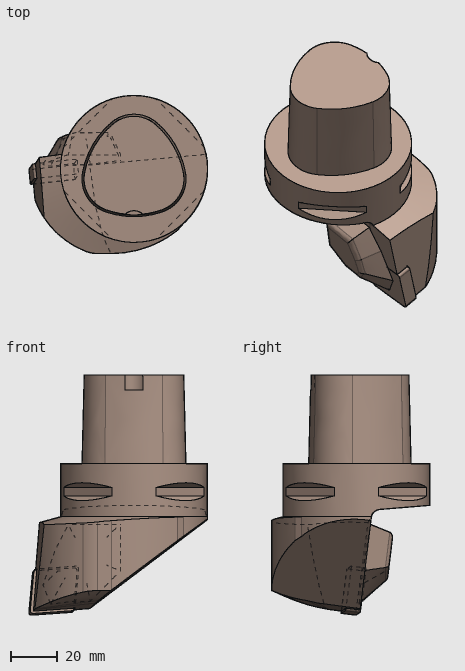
import cadquery as cq
import math


SHANK_HEIGHT = 38.0
SHANK_TAPER = 1.4
LOBE_REACH = 23.5
SIDE_REACH = 20.5
LOBE_RADIUS = 14.9
KEY_RADIUS = 5.6
KEY_DEPTH = 6.4
KEY_BOTTOM_Y = -17.9

FLANGE_RADIUS = 31.5
FLANGE_HEIGHT = 22.8
NOTCH_COUNT = 4
NOTCH_FLOOR_DISTANCE = 27.9
NOTCH_FLOOR_WIDTH = 3.5
NOTCH_MIDDLE_Z = -12.0
NOTCH_FLANK_ANGLE = 30

HEAD_FRONT_Y = -36.4
HEAD_RADIUS = 31.6
HEAD_BOTTOM_Z = -72.1
SHOULDER_SLOPE = 0.28

LEFT_POINT = (-38.5, -21.0, -26.3)
LEFT_NORMAL = (-1, -0.082, 0.092)
SLANT_POINT = (-18.6, -4.1, -61.8)
SLANT_NORMAL = (0.757, -0.023, -1)
END_POINT = (-42.5, -13.3, -62.4)
END_NORMAL = (0.085, -0.12, -1)

RELIEF_DIRECTION = (1, -0.29, 0.13)
RELIEF_START_X = -51.5
RELIEF_LENGTH = 61.8

RAKE_LEAN_X = 0.1
RAKE_LEAN_Z = 0.123
RAKE_Y = 12.2
RAKE_LEAN_END_X = -28.8
GULLET_ROOT_Z = -20.0
GULLET_CEILING_RISE = 3.7
GULLET_DEPTH = 45.3
GULLET_FILLET = 7.9 / 2
PAD_HEIGHT = 10.1
PAD_SINK = 1.2
PAD_FILLET = 2.6

INSERT_EDGE = 19.4
INSERT_ANGLE = 80
INSERT_THICKNESS = 6.4
INSERT_NOSE_RADIUS = 1.2
INSERT_CORNER = (-46.2, -65.6)
INSERT_EDGE_TILT = 4

STOCK = 206

STRAIGHT_FACE_Y = RAKE_Y + RAKE_LEAN_X * RAKE_LEAN_END_X

RAKE_PLANE = cq.Plane(
    origin=(0, RAKE_Y, 0),
    xDir=(1, RAKE_LEAN_X, 0),
    normal=(RAKE_LEAN_X, -1, RAKE_LEAN_Z),
)


def outside(point, normal):
    """Block filling the space on the outer side of a plane."""
    return cq.Workplane(cq.Plane(origin=point, normal=normal)).rect(STOCK, STOCK).extrude(STOCK)


def polar(radius, degrees, center=(0, 0)):
    angle = math.radians(degrees)
    return (center[0] + radius * math.cos(angle), center[1] + radius * math.sin(angle))


def make_shank():
    lobe_offset = LOBE_REACH - LOBE_RADIUS
    side_radius = (
        SIDE_REACH**2 + lobe_offset**2 - SIDE_REACH * lobe_offset - LOBE_RADIUS**2
    ) / (2 * SIDE_REACH - 2 * LOBE_RADIUS - lobe_offset)
    side_offset = side_radius - SIDE_REACH

    def tangent_point(side_angle, lobe_angle):
        side_center = cq.Vector(*polar(-side_offset, side_angle))
        lobe_center = cq.Vector(*polar(lobe_offset, lobe_angle))
        point = side_center + (lobe_center - side_center).normalized() * side_radius
        return (point.x, point.y)

    outline = cq.Workplane("XY").moveTo(*tangent_point(30, 90))
    for lobe_angle in (90, 210, 330):
        next_side = lobe_angle + 60
        outline = outline.threePointArc(
            polar(LOBE_REACH, lobe_angle), tangent_point(next_side, lobe_angle)
        ).threePointArc(
            polar(SIDE_REACH, next_side), tangent_point(next_side, lobe_angle + 120)
        )
    shank = outline.close().extrude(SHANK_HEIGHT, taper=SHANK_TAPER)
    key_groove = (
        cq.Workplane("XY", origin=(0, KEY_BOTTOM_Y - KEY_RADIUS, SHANK_HEIGHT - KEY_DEPTH))
        .circle(KEY_RADIUS)
        .extrude(KEY_DEPTH)
    )
    return shank.cut(key_groove)


def make_flange():
    flange = cq.Workplane("XY").circle(FLANGE_RADIUS).extrude(-FLANGE_HEIGHT)
    depth = FLANGE_RADIUS - NOTCH_FLOOR_DISTANCE
    floor_half = NOTCH_FLOOR_WIDTH / 2
    mouth_half = floor_half + depth * math.tan(math.radians(NOTCH_FLANK_ANGLE))
    notch = (
        cq.Workplane("XZ", origin=(0, 0, NOTCH_MIDDLE_Z))
        .polyline([
            (NOTCH_FLOOR_DISTANCE, -floor_half),
            (FLANGE_RADIUS, -mouth_half),
            (FLANGE_RADIUS, mouth_half),
            (NOTCH_FLOOR_DISTANCE, floor_half),
        ])
        .close()
        .extrude(FLANGE_RADIUS, both=True)
    )
    for index in range(NOTCH_COUNT):
        angle = (index + 0.5) * 360 / NOTCH_COUNT
        flange = flange.cut(notch.rotate((0, 0, 0), (0, 0, 1), angle))
    return flange


def make_end_relief():
    """Material below the rounded relief of the end face."""
    section = (
        cq.Workplane("YZ", origin=(RELIEF_START_X, 0, 0))
        .moveTo(-10.7, -63.4)
        .threePointArc((-19.6, -61.54), (-26.3, -58.97))
        .lineTo(-36, -53.6)
        .lineTo(-36, -82.4)
        .lineTo(15.5, -82.4)
        .lineTo(15.5, -69)
        .close()
    )
    sweep = cq.Vector(*RELIEF_DIRECTION) * RELIEF_LENGTH
    return cq.Workplane(cq.Solid.extrudeLinear(section.val(), [], sweep))


def make_head():
    back_left = (-51.5, 20.6)
    back_right = polar(HEAD_RADIUS, 40)
    head = (
        cq.Workplane("XY", origin=(0, 0, HEAD_BOTTOM_Z))
        .moveTo(*back_left)
        .lineTo(-45.3, -5.2)
        .lineTo(-42.4, -13.4)
        .threePointArc((-33.6, -27.0), (-21.9, -34.8))
        .threePointArc((-18.8, -35.9), (-15.7, HEAD_FRONT_Y))
        .lineTo(-9.7, HEAD_FRONT_Y)
        .threePointArc((5.2, -33.8), (18.6, -26.4))
        .lineTo(*polar(HEAD_RADIUS, -48))
        .threePointArc((HEAD_RADIUS, 0), back_right)
        .lineTo(back_right[0], back_left[1])
        .close()
        .extrude(-HEAD_BOTTOM_Z - FLANGE_HEIGHT)
    )
    rim = 61.8
    shoulder = (
        cq.Workplane("XZ")
        .polyline([
            (0, -FLANGE_HEIGHT),
            (FLANGE_RADIUS, -FLANGE_HEIGHT),
            (rim, -FLANGE_HEIGHT - SHOULDER_SLOPE * (rim - FLANGE_RADIUS)),
            (rim, HEAD_BOTTOM_Z),
            (0, HEAD_BOTTOM_Z),
        ])
        .close()
        .revolve()
    )
    return (
        head.intersect(shoulder)
        .cut(outside(LEFT_POINT, LEFT_NORMAL))
        .cut(outside(SLANT_POINT, SLANT_NORMAL))
        .cut(outside(END_POINT, END_NORMAL))
        .cut(make_end_relief())
    )


def make_gullet(lean, face_y):
    """Space in front of the rake face, open to +Y, with a rounded root.

    The face rises by `lean` in Y per unit of X, and passes Y = face_y on the Z axis at Z = 0.
    """
    root_y = face_y + RAKE_LEAN_Z * GULLET_ROOT_Z
    low_z = -STOCK / 2
    section = (
        cq.Workplane("YZ")
        .polyline([
            (face_y + RAKE_LEAN_Z * low_z, low_z),
            (root_y, GULLET_ROOT_Z),
            (root_y + GULLET_DEPTH, GULLET_ROOT_Z + GULLET_CEILING_RISE),
            (root_y + GULLET_DEPTH, low_z),
        ])
        .close()
    )
    sweep = cq.Vector(1, lean, 0) * STOCK
    gullet = cq.Workplane(cq.Solid.extrudeLinear(section.val(), [], sweep)).translate(sweep * -0.5)
    root_edge = cq.selectors.NearestToPointSelector((0, root_y, GULLET_ROOT_Z))
    return gullet.edges(root_edge).fillet(GULLET_FILLET)


def make_pad():
    """Raised pad with sloping sides, standing on the straight part of the rake face."""
    foot_plane = cq.Plane(
        origin=(0, STRAIGHT_FACE_Y - PAD_SINK, 0), xDir=(1, 0, 0), normal=(0, -1, RAKE_LEAN_Z)
    )
    foot = [(-28.3, -25.8), (-34, -37.1), (-39.1, -52.5), (-36, -61.3), (-18.5, -60.8), (-5.2, -46.4), (-5.2, -25.8)]
    top = [(-26.3, -28.8), (-30.4, -38.1), (-31.9, -44.3), (-29.9, -48.4), (-20.6, -48.4), (-10.3, -43.3), (-10.3, -28.8)]
    pad = (
        cq.Workplane(foot_plane)
        .polyline(foot)
        .close()
        .workplane(offset=-PAD_SINK - PAD_HEIGHT)
        .polyline(top)
        .close()
        .loft(ruled=True)
    )
    top_face = cq.selectors.DirectionMinMaxSelector(foot_plane.zDir, False)
    return pad.faces(top_face).edges().fillet(PAD_FILLET)


def make_insert():
    side = polar(INSERT_EDGE, INSERT_EDGE_TILT + INSERT_ANGLE, INSERT_CORNER)
    bottom = polar(INSERT_EDGE, INSERT_EDGE_TILT, INSERT_CORNER)
    opposite = polar(INSERT_EDGE, INSERT_EDGE_TILT, side)
    blank = (
        cq.Workplane(RAKE_PLANE)
        .polyline([INSERT_CORNER, bottom, opposite, side])
        .close()
        .extrude(INSERT_THICKNESS)
    )
    return blank.edges(cq.selectors.ParallelDirSelector(RAKE_PLANE.zDir)).fillet(INSERT_NOSE_RADIUS)


insert = make_insert()
holder = (
    make_flange()
    .union(make_head())
    .cut(make_gullet(RAKE_LEAN_X, RAKE_Y))
    .cut(make_gullet(0, STRAIGHT_FACE_Y))
    .union(make_shank())
    .union(make_pad())
    .cut(insert)
)

result = cq.Compound.makeCompound([holder.solids().val(), insert.solids().val()])